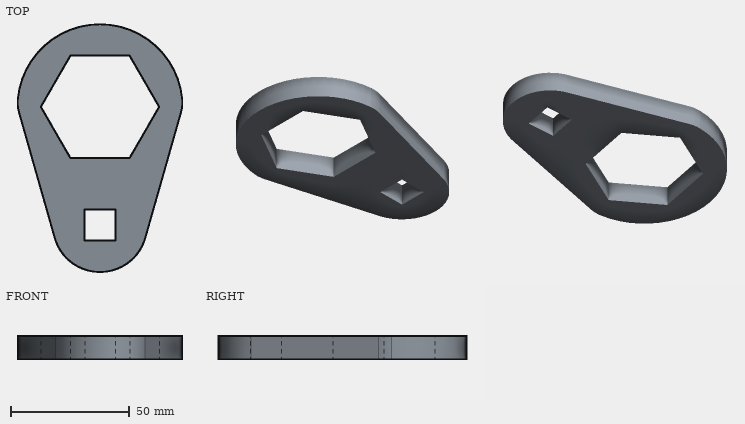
import cadquery as cq
import math

thickness = 10.0
head_radius = 35.0
tail_radius = 20.0
center_distance = 50.0
shoulder_radius = 15.0
hex_across_corners = 50.0
square_side = 13.0
flank_end_x = 18.95

flank_end_y = -center_distance - math.sqrt(tail_radius**2 - flank_end_x**2)


def make_plate():
    """Teardrop plate with rounded shoulders where the flanks leave the head."""
    plate = (
        cq.Workplane("XY")
        .moveTo(head_radius, 0)
        .threePointArc((0, head_radius), (-head_radius, 0))
        .lineTo(-flank_end_x, flank_end_y)
        .threePointArc((0, -center_distance - tail_radius), (flank_end_x, flank_end_y))
        .close()
        .extrude(thickness)
    )
    middle = thickness / 2
    for side in (-1, 1):
        nearest = cq.selectors.NearestToPointSelector((side * head_radius, 0, middle))
        plate = plate.edges("|Z").edges(nearest).fillet(shoulder_radius)
    return plate


def cut_hexagon(body):
    """Through hexagon in the head, with two corners on the X axis."""
    hexagon = cq.Workplane("XY").polygon(6, hex_across_corners).extrude(thickness)
    return body.cut(hexagon)


def cut_square_drive(body):
    """Through square socket at the centre of the tail."""
    square = (
        cq.Workplane("XY")
        .center(0, -center_distance)
        .rect(square_side, square_side)
        .extrude(thickness)
    )
    return body.cut(square)


result = cut_square_drive(cut_hexagon(make_plate()))